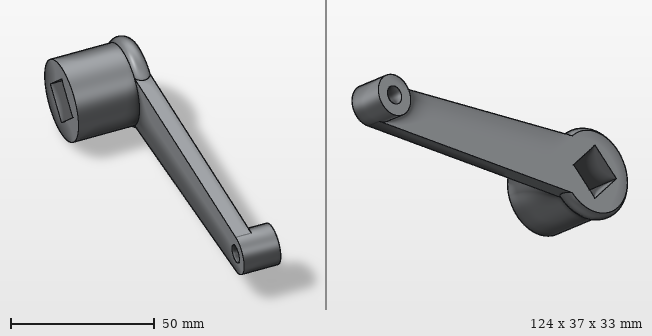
import cadquery as cq

total_length = 124.0
arm_thickness = 6.0
hub_diameter = 30.0
hub_length = 23.1
rim_diameter = 33.0
square_diagonal = 19.8
knob_diameter = 15.0
knob_length = 7.9
knob_hole_diameter = 6.6
arm_root_width = 22.1

hub_radius = hub_diameter / 2
rim_radius = rim_diameter / 2
knob_radius = knob_diameter / 2
knob_x = total_length - rim_radius - knob_radius
knob_end_y = arm_thickness + knob_length


def cylinder(x, diameter, y_start, y_end):
    """Cylinder parallel to Y, centred at (x, 0) in X and Z."""
    plane = cq.Workplane("XZ", origin=(x, y_start, 0))
    return plane.circle(diameter / 2).extrude(y_start - y_end)


def make_rim():
    """Disc at the arm root with a rounded, bulging edge."""
    return (
        cq.Workplane("XY")
        .lineTo(hub_radius, 0)
        .threePointArc((rim_radius, arm_thickness / 2), (hub_radius, arm_thickness))
        .lineTo(0, arm_thickness)
        .close()
        .revolve(360, (0, 0, 0), (0, 1, 0))
    )


def make_arm():
    """Tapered flat arm with a round end concentric with the knob."""
    half_root = arm_root_width / 2
    return (
        cq.Workplane("XZ")
        .moveTo(0, -half_root)
        .lineTo(knob_x, -knob_radius)
        .threePointArc((knob_x + knob_radius, 0), (knob_x, knob_radius))
        .lineTo(0, half_root)
        .close()
        .extrude(-arm_thickness)
    )


def make_square_socket():
    """Square drive hole, corners on X and Z, through the hub and rim."""
    return (
        cq.Workplane("XZ", origin=(0, -hub_length, 0))
        .polygon(4, square_diagonal)
        .extrude(-(hub_length + arm_thickness))
    )


hub = cylinder(0, hub_diameter, -hub_length, 0)
knob = cylinder(knob_x, knob_diameter, 0, knob_end_y)
knob_hole = cylinder(knob_x, knob_hole_diameter, 0, knob_end_y)

body = make_arm().union(make_rim()).union(hub).union(knob)
result = body.cut(make_square_socket()).cut(knob_hole)